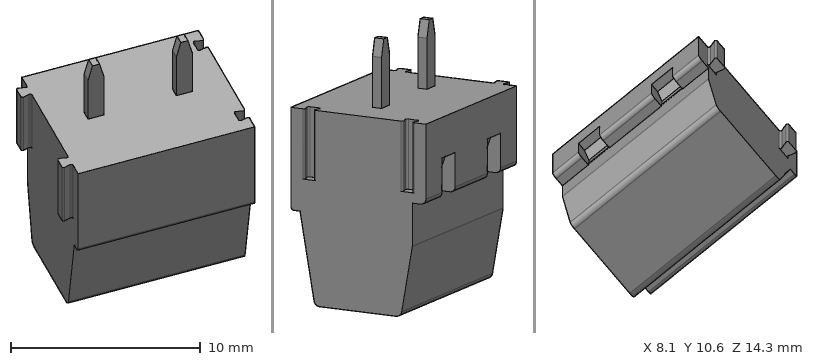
import cadquery as cq
import math

POLE_COUNT = 2
PITCH = 5.0

HOUSING_WIDTH = 8.1
HOUSING_LENGTH = POLE_COUNT * PITCH
HOUSING_HEIGHT = 10.6
FRONT_STEP_WIDTH = 0.81
FRONT_STEP_DEPTH = 4.36
REAR_STEP_WIDTH = 0.55
REAR_STEP_DEPTH = 5.56
FRONT_TAPER_DEPTH = 6.7
TAPER_ANGLE = math.radians(10)
FRONT_STEP_RADIUS = 0.3
REAR_STEP_RADIUS = 0.2
BOTTOM_RADIUS = 0.36

NOTCH_WIDTH = 1.45
NOTCH_RECESS = 0.05
NOTCH_TOP_DEPTH = 2.2
NOTCH_RAMP_DEPTH = 3.2
NOTCH_RAMP_ANGLE = math.radians(20)
NOTCH_LEDGE_DEPTH = FRONT_STEP_DEPTH - FRONT_STEP_RADIUS

PIN_THICKNESS = 0.55
PIN_WIDTH = 0.9
PIN_LENGTH = 3.71
PIN_TIP_WIDTH = 0.4
PIN_TIP_LENGTH = 0.95

DOVETAIL_EDGE_DISTANCE = 1.1
DOVETAIL_HEIGHT = 3.8
DOVETAIL_DEPTH = 0.6
DOVETAIL_ROOT_WIDTH = 0.5
DOVETAIL_FLARE_ANGLE = math.radians(15)
DOVETAIL_RADIUS = 0.1

FRONT_X = -HOUSING_WIDTH / 2
REAR_X = HOUSING_WIDTH / 2
FRONT_WALL_X = FRONT_X + FRONT_STEP_WIDTH
REAR_WALL_X = REAR_X - REAR_STEP_WIDTH
END_Y = HOUSING_LENGTH / 2
POLE_YS = [(i - (POLE_COUNT - 1) / 2) * PITCH for i in range(POLE_COUNT)]
DOVETAIL_XS = [FRONT_X + DOVETAIL_EDGE_DISTANCE, REAR_X - DOVETAIL_EDGE_DISTANCE]


def extrude_along_y(points, y_centre, length):
    """Extrude an XZ outline by length, centred on y_centre."""
    plane = cq.Workplane("XZ", origin=(0, y_centre, 0))
    return plane.polyline(points).close().extrude(length / 2, both=True)


def round_edge(solid, x, z, radius):
    """Round the housing edge that runs along Y through (x, z)."""
    edge = solid.edges(cq.selectors.NearestToPointSelector((x, 0, z)))
    return solid.newObject(edge.vals()).fillet(radius)


def make_housing():
    front_bottom_x = FRONT_WALL_X + (HOUSING_HEIGHT - FRONT_TAPER_DEPTH) * math.tan(TAPER_ANGLE)
    rear_bottom_x = REAR_WALL_X - (HOUSING_HEIGHT - REAR_STEP_DEPTH) * math.tan(TAPER_ANGLE)
    outline = [
        (FRONT_X, 0),
        (REAR_X, 0),
        (REAR_X, -REAR_STEP_DEPTH),
        (REAR_WALL_X, -REAR_STEP_DEPTH),
        (rear_bottom_x, -HOUSING_HEIGHT),
        (front_bottom_x, -HOUSING_HEIGHT),
        (FRONT_WALL_X, -FRONT_TAPER_DEPTH),
        (FRONT_WALL_X, -FRONT_STEP_DEPTH),
        (FRONT_X, -FRONT_STEP_DEPTH),
    ]
    housing = extrude_along_y(outline, 0, HOUSING_LENGTH)
    housing = round_edge(housing, FRONT_X, -FRONT_STEP_DEPTH, FRONT_STEP_RADIUS)
    housing = round_edge(housing, REAR_X, -REAR_STEP_DEPTH, REAR_STEP_RADIUS)
    housing = round_edge(housing, front_bottom_x, -HOUSING_HEIGHT, BOTTOM_RADIUS)
    return round_edge(housing, rear_bottom_x, -HOUSING_HEIGHT, BOTTOM_RADIUS)


def make_notch(y_centre):
    """Cutter for a notch through the front step.

    A steep ramp leads from its flat ceiling to a wall set slightly into the
    housing, which ends below at a narrow ledge.
    """
    wall_x = FRONT_WALL_X + NOTCH_RECESS
    ramp_top_x = wall_x - (NOTCH_RAMP_DEPTH - NOTCH_TOP_DEPTH) * math.tan(NOTCH_RAMP_ANGLE)
    outline = [
        (FRONT_X, -NOTCH_TOP_DEPTH),
        (ramp_top_x, -NOTCH_TOP_DEPTH),
        (wall_x, -NOTCH_RAMP_DEPTH),
        (wall_x, -NOTCH_LEDGE_DEPTH),
        (FRONT_WALL_X, -NOTCH_LEDGE_DEPTH),
        (FRONT_WALL_X, -FRONT_STEP_DEPTH),
        (FRONT_X, -FRONT_STEP_DEPTH),
    ]
    return extrude_along_y(outline, y_centre, NOTCH_WIDTH)


def make_pin(y_centre):
    """Flat pin whose two narrow sides taper towards the tip."""
    shoulder_z = PIN_LENGTH - PIN_TIP_LENGTH
    outline = [
        (-PIN_WIDTH / 2, 0),
        (PIN_WIDTH / 2, 0),
        (PIN_WIDTH / 2, shoulder_z),
        (PIN_TIP_WIDTH / 2, PIN_LENGTH),
        (-PIN_TIP_WIDTH / 2, PIN_LENGTH),
        (-PIN_WIDTH / 2, shoulder_z),
    ]
    plane = cq.Workplane("YZ", origin=(0, y_centre, 0))
    return plane.polyline(outline).close().extrude(PIN_THICKNESS / 2, both=True)


def make_root_blend(x_centre, y_root, side):
    """Concave blend between the end face and one flank (side is -1 or 1) of a dovetail."""
    root = DOVETAIL_ROOT_WIDTH / 2
    corner_angle = math.pi / 2 - DOVETAIL_FLARE_ANGLE
    tangent_length = DOVETAIL_RADIUS / math.tan(corner_angle / 2)
    face_x = root + tangent_length
    flank_x = root + tangent_length * math.sin(DOVETAIL_FLARE_ANGLE)
    flank_y = -tangent_length * math.cos(DOVETAIL_FLARE_ANGLE)
    plane = cq.Workplane("XY", origin=(x_centre, y_root, 0))
    blend = plane.moveTo(side * root, 0).lineTo(side * flank_x, flank_y)
    blend = blend.radiusArc((side * face_x, 0), side * DOVETAIL_RADIUS).close()
    return blend.extrude(-DOVETAIL_HEIGHT)


def make_dovetail(x_centre, y_root):
    """Dovetail that widens towards -Y from y_root, with a rounded tip and a blended root."""
    root = DOVETAIL_ROOT_WIDTH / 2
    tip = root + DOVETAIL_DEPTH * math.tan(DOVETAIL_FLARE_ANGLE)
    outline = [(-root, 0), (-tip, -DOVETAIL_DEPTH), (tip, -DOVETAIL_DEPTH), (root, 0)]
    plane = cq.Workplane("XY", origin=(x_centre, y_root, 0))
    bar = plane.polyline(outline).close().extrude(-DOVETAIL_HEIGHT)
    bar = bar.faces("<Y").edges("|Z").fillet(DOVETAIL_RADIUS)
    for side in (-1, 1):
        bar = bar.union(make_root_blend(x_centre, y_root, side))
    return bar


result = make_housing()
for pole_y in POLE_YS:
    result = result.cut(make_notch(pole_y))
    result = result.union(make_pin(pole_y))
for dovetail_x in DOVETAIL_XS:
    result = result.union(make_dovetail(dovetail_x, -END_Y))
    result = result.cut(make_dovetail(dovetail_x, END_Y))